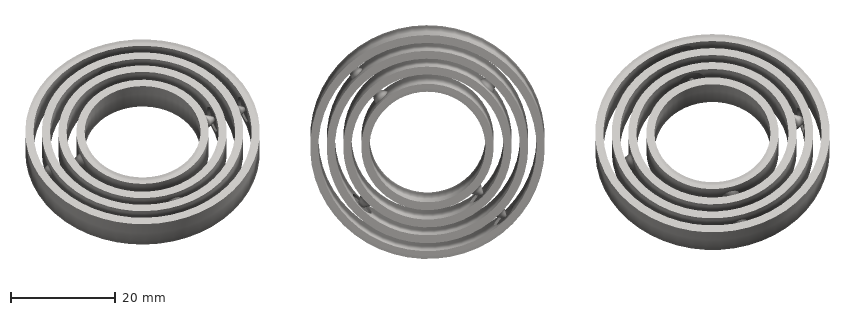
import cadquery as cq

HEIGHT = 6.35
WALL = 1.58
OUTER_DIAMETERS = [45.0, 38.65, 32.3, 25.4]
SOCKET_DIAMETER = 5.1
SOCKET_DEPTH = 0.4
TIP_CLEARANCE = 0.2
PIN_SLOPE = 1.1

PIVOT_AXES = [cq.Vector(0, 1, 0), cq.Vector(1, 0, 0), cq.Vector(0, 1, 0)]
TIP_DIAMETERS = [0.85, 1.4, 0.9]

MID_HEIGHT = HEIGHT / 2
RING_COUNT = len(OUTER_DIAMETERS)


def outer_radius(index):
    return OUTER_DIAMETERS[index] / 2


def inner_radius(index):
    return outer_radius(index) - WALL


def floor_distance(index):
    """Distance from the centre to the flat floors of a ring's sockets."""
    return inner_radius(index) + SOCKET_DEPTH


def outward_directions(gap):
    return [PIVOT_AXES[gap], -PIVOT_AXES[gap]]


def point_on_axis(direction, distance):
    return direction * distance + cq.Vector(0, 0, MID_HEIGHT)


def plain_ring(index):
    return cq.Workplane().circle(outer_radius(index)).circle(inner_radius(index)).extrude(HEIGHT)


def pins(index):
    """Tapered pivot pins of a ring, rooted halfway into its wall and pointing outward."""
    gap = index - 1
    root = outer_radius(index) - WALL / 2
    length = floor_distance(gap) - TIP_CLEARANCE - root
    tip_radius = TIP_DIAMETERS[gap] / 2
    root_radius = tip_radius + length * PIN_SLOPE / 2
    return [
        cq.Solid.makeCone(root_radius, tip_radius, length, point_on_axis(direction, root), direction)
        for direction in outward_directions(gap)
    ]


def sockets(index):
    """Cutters for the round, flat-floored recesses in the inner wall of a ring."""
    length = floor_distance(index)
    return [
        cq.Solid.makeCylinder(SOCKET_DIAMETER / 2, length, point_on_axis(direction, 0), direction)
        for direction in outward_directions(index)
    ]


def gimbal_ring(index):
    ring = plain_ring(index)
    if index > 0:
        for pin in pins(index):
            ring = ring.union(cq.Workplane(pin))
    if index < RING_COUNT - 1:
        for socket in sockets(index):
            ring = ring.cut(cq.Workplane(socket))
    return ring


gimbal_rings = [gimbal_ring(index) for index in range(RING_COUNT)]

result = cq.Compound.makeCompound([ring.solids().val() for ring in gimbal_rings])